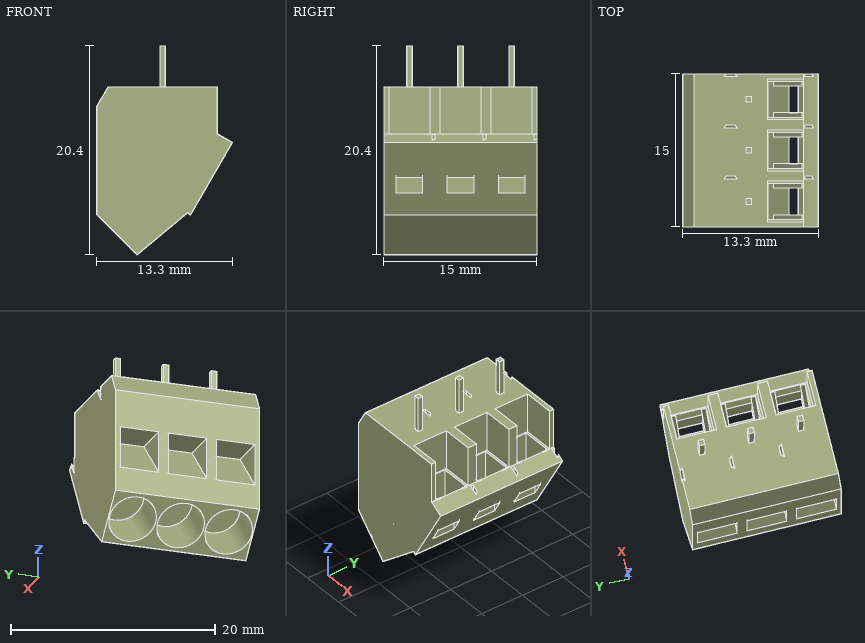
import cadquery as cq
import math

POLES = 3
PITCH = 15.0 / POLES
WIDTH = POLES * PITCH
DEPTH = 13.3
TOTAL_HEIGHT = 20.45

PIN_LENGTH = 4.0
PIN_SIZE = 0.55
PIN_X = 6.47

TOP_Z = TOTAL_HEIGHT - PIN_LENGTH
TILT = math.radians(30)
CHAMFER_RUN = 1.13
CHAMFER_DROP = 1.92
TIP_X = 3.97
BACK_X = 11.83
NOSE_Z = 11.0
SCREW_FACE_FOOT_Z = 3.89
SCREW_FACE_FOOT_X = DEPTH - (NOSE_Z - SCREW_FACE_FOOT_Z) * math.tan(TILT)
HEEL_RUN = 0.29
HEEL_RISE = 0.23

WINDOW_WIDTH = 3.99
WINDOW_BOTTOM_Z = 6.45
WINDOW_HEIGHT = 4.25

WIRE_HOLE_DIAMETER = 4.79
WIRE_HOLE_DEPTH = 5.0

POCKET_X = 8.3
POCKET_WIDTH = WINDOW_WIDTH
INNER_POCKET_X = 8.37
INNER_POCKET_WIDTH = 3.52
SLOPE_TOP_X = 11.7
INNER_LEDGE_DROP = 0.15
SLOPE_FOOT_X = 8.9
POCKET_FLOOR_ANGLE = math.radians(35.5)

SLOT_WIDTH = 2.6
SLOT_X_MIN = 10.43
SLOT_X_MAX = 11.31
SLOT_LIP_DROP = 0.16
SLOT_LIP_ANGLE = math.radians(43.5)

DOVETAIL_DEPTH = 0.29
DOVETAIL_FLOOR_ANGLE = math.radians(51)
TOP_DOVETAIL_X = (4.05, 5.36)
TOP_DOVETAIL_TAPERS = (0.25, 0.25)
LEDGE_DOVETAIL_X = (11.93, 12.83)
LEDGE_DOVETAIL_TAPERS = (0.08, 0.18)

CLEARANCE = 0.2


def ledge_z(x):
    """Height of the sloping ledge behind the pockets, extended along X."""
    return NOSE_Z + (DEPTH - x) * math.tan(TILT)


def prism(points, y_min, y_max):
    """Extrude an XZ outline from y_min to y_max."""
    return cq.Workplane("XZ", origin=(0, y_max, 0)).polyline(points).close().extrude(y_max - y_min)


def centred_prism(points, y_centre, width):
    return prism(points, y_centre - width / 2, y_centre + width / 2)


def housing():
    outline = [
        (CHAMFER_RUN, TOP_Z),
        (BACK_X, TOP_Z),
        (BACK_X, ledge_z(BACK_X)),
        (DEPTH, NOSE_Z),
        (SCREW_FACE_FOOT_X, SCREW_FACE_FOOT_Z),
        (SCREW_FACE_FOOT_X - HEEL_RUN, SCREW_FACE_FOOT_Z + HEEL_RISE),
        (TIP_X, 0),
        (0, TIP_X),
        (0, TOP_Z - CHAMFER_DROP),
    ]
    return prism(outline, 0, WIDTH)


def pin(y):
    return (
        cq.Workplane("XY", origin=(PIN_X, y, TOP_Z))
        .rect(PIN_SIZE, PIN_SIZE)
        .extrude(PIN_LENGTH)
    )


def lever_window(y):
    """Wedge whose floor climbs at 45 degrees to a flat roof."""
    outline = [
        (0, WINDOW_BOTTOM_Z),
        (WINDOW_HEIGHT, WINDOW_BOTTOM_Z + WINDOW_HEIGHT),
        (0, WINDOW_BOTTOM_Z + WINDOW_HEIGHT),
    ]
    return centred_prism(outline, y, WINDOW_WIDTH)


def wire_hole(y):
    """Blind bore square to the 45 degree face, centred on it."""
    mouth = cq.Vector(TIP_X / 2, y, TIP_X / 2)
    inward = cq.Vector(1, 0, 1).normalized()
    length = WIRE_HOLE_DEPTH + CLEARANCE
    bore = cq.Solid.makeCylinder(WIRE_HOLE_DIAMETER / 2, length, mouth - inward * CLEARANCE, inward)
    return cq.Workplane(bore)


def top_pocket(y):
    """Wide shelf, deeper sloped pocket and narrow slot through the screw face."""
    open_z = TOP_Z + CLEARANCE
    open_x = BACK_X + CLEARANCE
    shelf_z = ledge_z(BACK_X)
    rim_z = shelf_z - INNER_LEDGE_DROP
    lip_z = rim_z - SLOT_LIP_DROP
    slope_top_z = ledge_z(SLOPE_TOP_X) - INNER_LEDGE_DROP
    slope_foot_z = slope_top_z - (SLOPE_TOP_X - SLOPE_FOOT_X) / math.tan(TILT)

    def floor_z(x):
        return slope_foot_z + (x - SLOPE_FOOT_X) * math.tan(POCKET_FLOOR_ANGLE)

    shelf = [(POCKET_X, shelf_z), (open_x, shelf_z), (open_x, open_z), (POCKET_X, open_z)]
    inner = [
        (INNER_POCKET_X, floor_z(INNER_POCKET_X)),
        (SLOPE_FOOT_X, slope_foot_z),
        (SLOPE_TOP_X, slope_top_z),
        (BACK_X, rim_z),
        (BACK_X, open_z),
        (INNER_POCKET_X, open_z),
    ]
    slot = [
        (INNER_POCKET_X, floor_z(INNER_POCKET_X)),
        (SLOT_X_MIN, floor_z(SLOT_X_MIN)),
        (SLOT_X_MIN, 0),
        (SLOT_X_MAX, 0),
        (SLOT_X_MAX, lip_z - (BACK_X - SLOT_X_MAX) * math.tan(SLOT_LIP_ANGLE)),
        (BACK_X, lip_z),
        (BACK_X, open_z),
        (INNER_POCKET_X, open_z),
    ]
    pocket = centred_prism(shelf, y, POCKET_WIDTH)
    pocket = pocket.union(centred_prism(inner, y, INNER_POCKET_WIDTH))
    return pocket.union(centred_prism(slot, y, SLOT_WIDTH))


def dovetail_socket(y_side, x_limits, tapers, mouth_z):
    """Socket widening inwards from y_side; its floor climbs along +X to reach mouth_z."""
    x_min, x_max = x_limits
    y_inner = y_side - DOVETAIL_DEPTH
    plan = [
        (x_min, y_inner),
        (x_max, y_inner),
        (x_max - tapers[1], y_side),
        (x_min + tapers[0], y_side),
    ]
    floor_z = mouth_z - (x_max - x_min) * math.tan(DOVETAIL_FLOOR_ANGLE)
    socket = cq.Workplane("XY", origin=(0, 0, floor_z)).polyline(plan).close().extrude(TOP_Z - floor_z)
    floor_wedge = prism([(x_min, floor_z), (x_max, floor_z), (x_max, mouth_z)], y_inner, y_side)
    return socket.cut(floor_wedge)


result = housing()
for pole in range(POLES):
    pole_y = (pole + 0.5) * PITCH
    side_y = (pole + 1) * PITCH
    top_socket = dovetail_socket(side_y, TOP_DOVETAIL_X, TOP_DOVETAIL_TAPERS, TOP_Z)
    ledge_socket = dovetail_socket(
        side_y, LEDGE_DOVETAIL_X, LEDGE_DOVETAIL_TAPERS, ledge_z(LEDGE_DOVETAIL_X[1])
    )
    result = result.cut(lever_window(pole_y))
    result = result.cut(wire_hole(pole_y))
    result = result.cut(top_pocket(pole_y))
    result = result.cut(top_socket)
    result = result.cut(ledge_socket)
    result = result.union(pin(pole_y))